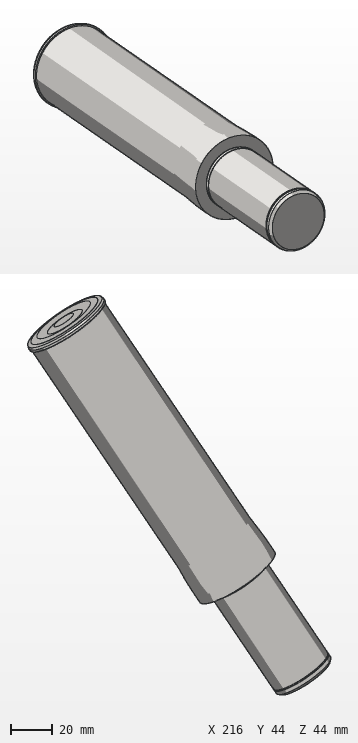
import cadquery as cq

total_length = 216.0

body_radius = 42.5 / 2
collar_radius = 44.0 / 2
housing_length = 155.5
flare_start = 134.0
collar_start = 150.8
flare_bulge = 0.75
bead_front_radius = 21.5
bead_chamfer_end = 2.2
bead_end = 3.5

rim_slope = 0.15
rim_step_radius = 19.5
rim_step = 0.1
outer_ridge_radius = 15.5
valley_radius = 10.2
inner_ridge_radius = 5.6
valley_depth = 1.0
inner_ridge_depth = 0.1
center_depth = 0.9

rod_radius = 32.0 / 2
relief_radius = 31.5 / 2
mouth_relief_length = 2.0
tip_groove_start = 212.1
tip_groove_width = 0.6
tip_chamfer = 1.3
bore_depth = 21.5

half_length = total_length / 2
bore_start = housing_length - bore_depth


def revolve_about_x(profile):
    """Revolve a profile, drawn as (x, radius), about X and center the assembly on the origin."""
    solid = profile.close().revolve(360, (0, 0, 0), (1, 0, 0))
    return solid.translate((-half_length, 0, 0))


def make_housing():
    flare_length = collar_start - flare_start
    flare_middle = flare_start + flare_length / 2
    flare_middle_radius = body_radius + flare_bulge * (collar_radius - body_radius)
    rim_step_depth = rim_slope * (rim_step_radius - outer_ridge_radius)
    bead_start = rim_step_depth + rim_step + rim_slope * (bead_front_radius - rim_step_radius)
    profile = (
        cq.Workplane("XY")
        .moveTo(center_depth, 0)
        .lineTo(inner_ridge_depth, inner_ridge_radius)
        .lineTo(valley_depth, valley_radius)
        .lineTo(0, outer_ridge_radius)
        .lineTo(rim_step_depth, rim_step_radius)
        .lineTo(rim_step_depth + rim_step, rim_step_radius)
        .lineTo(bead_start, bead_front_radius)
        .lineTo(bead_chamfer_end, collar_radius)
        .lineTo(bead_end, collar_radius)
        .lineTo(bead_end, body_radius)
        .lineTo(flare_start, body_radius)
        .threePointArc((flare_middle, flare_middle_radius), (collar_start, collar_radius))
        .lineTo(housing_length, collar_radius)
        .lineTo(housing_length, rod_radius)
        .lineTo(bore_start, rod_radius)
        .lineTo(bore_start, 0)
    )
    return revolve_about_x(profile)


def make_rod():
    mouth_relief_end = housing_length + mouth_relief_length
    tip_groove_end = tip_groove_start + tip_groove_width
    profile = (
        cq.Workplane("XY")
        .moveTo(bore_start, 0)
        .lineTo(bore_start, rod_radius)
        .lineTo(housing_length, rod_radius)
        .lineTo(housing_length, relief_radius)
        .lineTo(mouth_relief_end, relief_radius)
        .lineTo(mouth_relief_end, rod_radius)
        .lineTo(tip_groove_start, rod_radius)
        .lineTo(tip_groove_start, relief_radius)
        .lineTo(tip_groove_end, relief_radius)
        .lineTo(tip_groove_end, rod_radius)
        .lineTo(total_length - tip_chamfer, rod_radius)
        .lineTo(total_length, rod_radius - tip_chamfer)
        .lineTo(total_length, 0)
    )
    return revolve_about_x(profile)


housing = make_housing()
rod = make_rod()
result = cq.Compound.makeCompound([housing.val(), rod.val()])